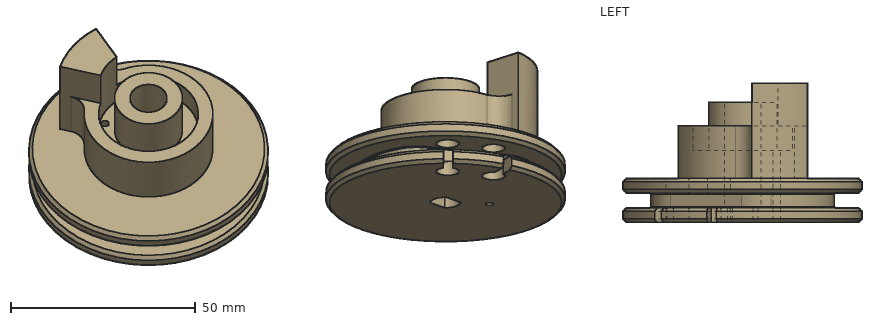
import cadquery as cq
import math

flange_radius = 32.5
flange_height = 4.0
flange_chamfer = 1.0
groove_height = 4.0
deck_z = 2 * flange_height + groove_height

core_radius = 24.95
flat_distance = 20.0
flat_corner_radius = 10.0
flat_angle = 150.0
core_flare = 0.25

collar_radius = 17.5
collar_top = 26.3
pocket_radius = 13.5
pocket_floor = 19.55
hub_radius = 9.2
hub_top = 32.7
finger_radius = 25.0
finger_top = 37.8
finger_side_y = -2.55
finger_end_angle = 225.0
blend_radius = 5.0

bore_radius = 5.0
bore_floor = 4.0
key_radius = 4.15
key_width = 6.1

cord_hole_radius = 3.1
cord_circle_radius = 25.0
cord_hole_spread = 30.0
rim_slot_width = 2.6
pin_hole_radius = 1.05
pin_hole_center = (-7.75, -9.2)


def polar(radius, angle):
    """Point at a radius and an angle in degrees."""
    turn = math.radians(angle)
    return (radius * math.cos(turn), radius * math.sin(turn))


def cylinder(radius, bottom, top, center=(0, 0)):
    """Upright cylinder between two heights."""
    return cq.Workplane("XY", origin=(*center, bottom)).circle(radius).extrude(top - bottom)


def flange(bottom):
    """Disc with both rim edges chamfered."""
    disc = cylinder(flange_radius, bottom, bottom + flange_height)
    return disc.edges("%CIRCLE").chamfer(flange_chamfer)


def core_outline(growth, bottom):
    """Closed core outline, offset outward by growth, at a height.

    The flat blends into the round through tangent arcs and faces +X.
    """
    corner_center_radius = core_radius - flat_corner_radius
    corner_radius = flat_corner_radius + growth
    corner_turn = math.degrees(
        math.acos((flat_distance - flat_corner_radius) / corner_center_radius)
    )
    corner_center_y = corner_center_radius * math.sin(math.radians(corner_turn))
    mid_x, mid_y = polar(corner_radius, corner_turn / 2)
    corner_middle = (flat_distance - flat_corner_radius + mid_x, corner_center_y + mid_y)
    round_end = polar(core_radius + growth, corner_turn)
    flat_x = flat_distance + growth
    return (
        cq.Workplane("XY", origin=(0, 0, bottom))
        .moveTo(flat_x, -corner_center_y)
        .lineTo(flat_x, corner_center_y)
        .threePointArc(corner_middle, round_end)
        .threePointArc((-core_radius - growth, 0), (round_end[0], -round_end[1]))
        .threePointArc((corner_middle[0], -corner_middle[1]), (flat_x, -corner_center_y))
        .close()
    )


def groove_core():
    """Core with a small 45 degree flare where it meets each flange."""
    groove_top = flange_height + groove_height
    core = core_outline(0, flange_height).extrude(groove_height)
    lower_flare = core_outline(core_flare, flange_height).extrude(core_flare, taper=45)
    upper_flare = core_outline(core_flare, groove_top).extrude(-core_flare, taper=45)
    core = core.union(lower_flare).union(upper_flare)
    return core.rotate((0, 0, 0), (0, 0, 1), flat_angle)


def finger():
    """Sector with one side parallel to X and the other side radial."""
    start = (-math.sqrt(finger_radius**2 - finger_side_y**2), finger_side_y)
    start_angle = 180 + math.degrees(math.asin(-finger_side_y / finger_radius))
    middle = polar(finger_radius, (start_angle + finger_end_angle) / 2)
    return (
        cq.Workplane("XY", origin=(0, 0, deck_z))
        .moveTo(0, finger_side_y)
        .lineTo(*start)
        .threePointArc(middle, polar(finger_radius, finger_end_angle))
        .lineTo(0, 0)
        .close()
        .extrude(finger_top - deck_z)
        .cut(cylinder(pocket_radius, deck_z, finger_top))
    )


def blend(along, along_angle, toward_angle, side_offset):
    """Collar-height fillet between the collar and one finger side.

    The finger side runs at along_angle, side_offset from the axis on the
    toward_angle side; `along` is where the fillet meets that side.
    """
    def place(run, rise):
        run_x, run_y = polar(run, along_angle)
        rise_x, rise_y = polar(rise, toward_angle)
        return (run_x + rise_x, run_y + rise_y)

    center_rise = side_offset + blend_radius
    center_angle = math.degrees(math.atan2(center_rise, along))
    contact_run, contact_rise = polar(collar_radius, center_angle)
    arc_turn = (-90 + center_angle - 180) / 2
    arc_run, arc_rise = polar(blend_radius, arc_turn)
    return (
        cq.Workplane("XY", origin=(0, 0, deck_z))
        .moveTo(*place(pocket_radius, side_offset))
        .lineTo(*place(along, side_offset))
        .threePointArc(
            place(along + arc_run, center_rise + arc_rise), place(contact_run, contact_rise)
        )
        .close()
        .extrude(collar_top - deck_z)
    )


def blend_reach(side_offset):
    """Distance along a finger side at which its fillet is tangent."""
    return math.sqrt((collar_radius + blend_radius) ** 2 - (side_offset + blend_radius) ** 2)


result = flange(0).union(groove_core()).union(flange(flange_height + groove_height))

result = result.union(cylinder(collar_radius, deck_z, collar_top))
result = result.union(blend(blend_reach(finger_side_y), 180, 90, finger_side_y))
result = result.union(blend(blend_reach(0), finger_end_angle, finger_end_angle + 90, 0))
result = result.cut(cylinder(pocket_radius, pocket_floor, collar_top))
result = result.union(finger())
result = result.union(cylinder(hub_radius, pocket_floor, hub_top))

result = result.cut(cylinder(bore_radius, bore_floor, hub_top))
key_opening = cylinder(key_radius, 0, bore_floor).intersect(
    cq.Workplane("XY").box(key_width, 2 * key_radius, 2 * bore_floor)
)
result = result.cut(key_opening)

for side in (-1, 1):
    hole_angle = flat_angle + side * cord_hole_spread / 2
    hole_center = polar(cord_circle_radius, hole_angle)
    result = result.cut(cylinder(cord_hole_radius, 0, deck_z, hole_center))
    rim_slot = (
        cq.Workplane("XY")
        .center(cord_circle_radius + flange_radius / 2, 0)
        .rect(flange_radius, rim_slot_width)
        .extrude(flange_height)
        .rotate((0, 0, 0), (0, 0, 1), hole_angle)
    )
    result = result.cut(rim_slot)

result = result.cut(cylinder(pin_hole_radius, 0, pocket_floor, pin_hole_center))